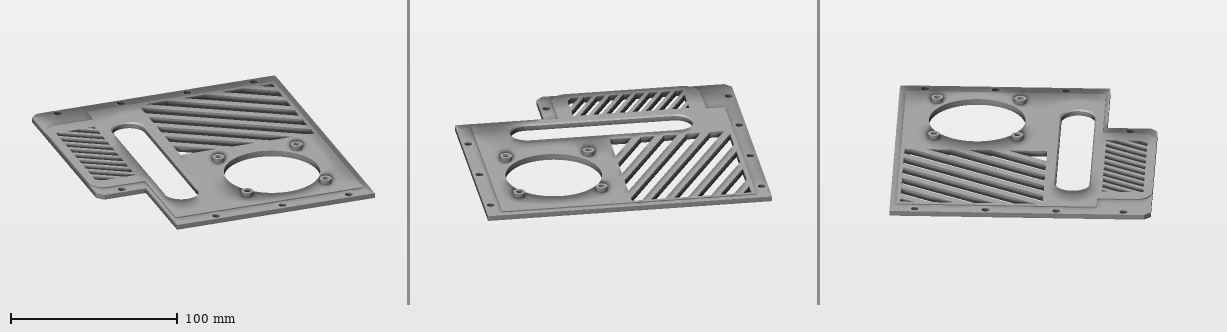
import cadquery as cq
import math

plate_length = 172.5
plate_height = 156.8
plate_thickness = 3.1
tab_width = 118.7
tab_height = 30.4
tab_chamfer = 4.0

panel_thickness = 0.7
panel_side_margin = 9.0
panel_top_margin = 4.0
panel_bottom = 32.8
panel_tab_left = 20.4
panel_tab_right = 110.3
panel_tab_radius = 10.0
panel_top_z = plate_thickness + panel_thickness

mount_diameter = 4.7
mount_inset = 4.0
mount_top_inset = 15.2
mount_pitch = 42.5
mounts_per_side = 3
tab_mount_y = 16.4

fan_x = 125.0
fan_y = 108.7
fan_diameter = 58.0
boss_spacing = 50.0
boss_diameter = 7.0
boss_hole_diameter = 3.8
boss_height = 3.0

slot_x = plate_length / 2
slot_y = 48.3
slot_length = 110.1
slot_width = 20.2
slot_chamfer = 0.9
slot_chamfer_angle = 45.0

slat_angle = 60.0

large_vent_left = 11.5
large_vent_bottom = 65.2
large_vent_right = 84.2
large_vent_top = 150.8
large_slat_start = 11.5
large_slat_pitch = 14.0
large_slat_width = 5.5
large_slat_count = 4

small_vent_left = 30.0
small_vent_bottom = 5.5
small_vent_right = 100.8
small_vent_top = tab_height
small_slat_start = 4.3
small_slat_count = 9
small_slat_span = 63.8
small_slat_pitch = small_slat_span / (small_slat_count - 1)
small_slat_width = 3.0

cut_depth = panel_top_z + boss_height


def rectangle(left, bottom, right, top, depth):
    """Box standing on z = 0 between two opposite corners."""
    return cq.Workplane("XY").box(right - left, top - bottom, depth, centered=False).translate((left, bottom, 0))


def make_plate():
    body = rectangle(0, tab_height, plate_length, plate_height, plate_thickness)
    tab = rectangle(0, 0, tab_width, tab_height, plate_thickness)
    tab = tab.edges("|Z and <Y").chamfer(tab_chamfer)
    return body.union(tab)


def make_panel():
    body = rectangle(
        panel_side_margin,
        panel_bottom,
        plate_length - panel_side_margin,
        plate_height - panel_top_margin,
        panel_thickness,
    )
    tab = rectangle(panel_tab_left, 0, panel_tab_right, panel_bottom, panel_thickness)
    tab = tab.edges("|Z and <Y").fillet(panel_tab_radius)
    return body.union(tab).translate((0, 0, plate_thickness))


def cylinders(points, diameter, depth):
    return cq.Workplane("XY").pushPoints(points).circle(diameter / 2).extrude(depth)


def make_vent(left, bottom, right, top, slat_start, slat_pitch, slat_width, slat_count):
    """Window openings between slats; slat_count slats begin on the bottom edge, the rest on the left edge."""
    height = top - bottom
    lean = height / math.tan(math.radians(slat_angle))
    left_edge_count = math.ceil((lean + slat_start) / slat_pitch)
    vent = rectangle(left, bottom, right, top, cut_depth)
    for index in range(-left_edge_count, slat_count):
        slat = (
            cq.Workplane("XY")
            .moveTo(left + slat_start + index * slat_pitch, bottom)
            .line(slat_width, 0)
            .line(lean, height)
            .line(-slat_width, 0)
            .close()
            .extrude(cut_depth)
        )
        vent = vent.cut(slat)
    return vent


def make_slot():
    """Round-ended slot that widens to the panel face at the rim."""
    slot = cq.Workplane("XY").center(slot_x, slot_y).slot2D(slot_length, slot_width).extrude(panel_top_z)
    rim = (
        cq.Workplane("XY", origin=(slot_x, slot_y, panel_top_z))
        .slot2D(slot_length + 2 * slot_chamfer, slot_width + 2 * slot_chamfer)
        .extrude(-slot_chamfer, taper=slot_chamfer_angle)
    )
    return slot.union(rim)


mount_points = [(mount_inset, tab_mount_y), (tab_width - mount_inset, tab_mount_y)]
for row in range(mounts_per_side):
    mount_y = plate_height - mount_top_inset - row * mount_pitch
    mount_points.append((mount_inset, mount_y))
    mount_points.append((plate_length - mount_inset, mount_y))

boss_points = [
    (fan_x + side_x * boss_spacing / 2, fan_y + side_y * boss_spacing / 2)
    for side_x in (-1, 1)
    for side_y in (-1, 1)
]

large_vent = make_vent(
    large_vent_left,
    large_vent_bottom,
    large_vent_right,
    large_vent_top,
    large_slat_start,
    large_slat_pitch,
    large_slat_width,
    large_slat_count,
)

small_vent = make_vent(
    small_vent_left,
    small_vent_bottom,
    small_vent_right,
    small_vent_top,
    small_slat_start,
    small_slat_pitch,
    small_slat_width,
    small_slat_count,
)

bosses = cylinders(boss_points, boss_diameter, boss_height).translate((0, 0, panel_top_z))

result = (
    make_plate()
    .union(make_panel())
    .union(bosses)
    .cut(cylinders(mount_points, mount_diameter, cut_depth))
    .cut(cylinders(boss_points, boss_hole_diameter, cut_depth))
    .cut(cylinders([(fan_x, fan_y)], fan_diameter, cut_depth))
    .cut(make_slot())
    .cut(large_vent)
    .cut(small_vent)
)